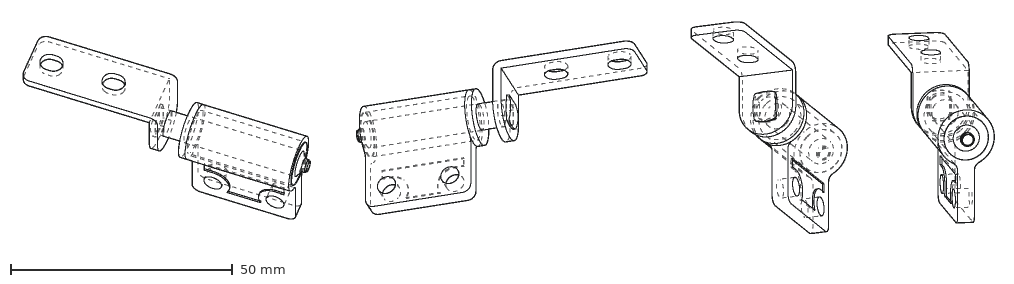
import cadquery as cq
import math


barrel_diameter = 13.0
barrel_radius = barrel_diameter / 2
hole_pitch = 15.0
hole_width = 4.3
hole_inset = 5.0
corner_radius = 2.0

bracket_length = 33.0
bracket_height = 10.0
sheet_thickness = 2.0
bend_radius = 2.0
slot_length = 5.3
bracket_inner_x = bracket_length - sheet_thickness

housing_start = 39.6
housing_length = 24.95
housing_end = housing_start + housing_length
leaf_bottom = 20.0
leaf_thickness = 3.9
leaf_fillet = 2.0
leaf_hole_z = hole_inset - leaf_bottom

recess_depth = 0.4
recess_top_z = -8.95
recess_bottom_z = -17.0
boss_radius = 4.0

flange_thickness = 1.6
cartridge_radius = 5.1
cartridge_end_overhang = 0.2

shaft_radius = 3.0
tenon_width = 4.7
cone_length = 0.95
stub_radius = 1.55
stub_length = 0.8
tip_radius = 1.3
tip_length = 0.4

head_width = 5.5
head_height = 7.1
head_bulge_y = 0.3
head_bulge_z = 0.4
head_corner_radius = 0.4
head_rim_height = 0.4
head_edge_height = 0.6
head_peak_height = 1.1


def cylinder_x(radius, start, length):
    """Cylinder on the hinge axis, running toward +X from start."""
    return cq.Workplane("YZ", origin=(start, 0, 0)).circle(radius).extrude(length)


def make_tenon():
    """Round bar with two flats that fills the bracket's plate."""
    flats = cq.Workplane("XY", origin=(bracket_inner_x, 0, 0)).box(
        sheet_thickness, tenon_width, 2 * shaft_radius, centered=(False, True, True)
    )
    return cylinder_x(shaft_radius, bracket_inner_x, sheet_thickness).intersect(flats)


def make_bracket():
    plate = (
        cq.Workplane("XY", origin=(0, 0, bracket_height - sheet_thickness))
        .box(bracket_length, barrel_diameter, sheet_thickness, centered=(False, True, False))
        .edges("|Z and <X")
        .fillet(corner_radius)
    )
    slots = (
        cq.Workplane("XY")
        .pushPoints([(hole_inset, 0), (hole_inset + hole_pitch, 0)])
        .slot2D(slot_length, hole_width)
        .extrude(bracket_height)
    )
    tongue = (
        cq.Workplane("YZ", origin=(bracket_inner_x, 0, 0))
        .moveTo(-barrel_radius, bracket_height)
        .lineTo(-barrel_radius, 0)
        .threePointArc((0, -barrel_radius), (barrel_radius, 0))
        .lineTo(barrel_radius, bracket_height)
        .close()
        .extrude(sheet_thickness)
    )
    bent = plate.union(tongue).edges("|Y and >X and >Z").fillet(bend_radius)
    return bent.cut(slots).cut(make_tenon())


def make_recess():
    """Wide bar above a web, cleared around both leaf holes by round bosses."""
    center_x = housing_start + housing_length / 2
    width = hole_pitch + hole_width
    recess_height = recess_top_z - recess_bottom_z
    bar_bottom_z = leaf_hole_z + boss_radius
    front = cq.Workplane("XZ", origin=(0, -leaf_thickness / 2, 0))
    recess = (
        front.center(center_x, recess_top_z - recess_height / 2)
        .rect(width, recess_height)
        .extrude(-recess_depth)
    )
    for side in (-1, 1):
        hole_x = center_x + side * hole_pitch / 2
        boss = front.center(hole_x, leaf_hole_z).circle(boss_radius).extrude(-recess_depth)
        outside = (
            front.moveTo(hole_x, bar_bottom_z)
            .lineTo(hole_x + side * boss_radius, bar_bottom_z)
            .lineTo(hole_x + side * boss_radius, -leaf_bottom)
            .lineTo(hole_x, -leaf_bottom)
            .close()
            .extrude(-recess_depth)
        )
        recess = recess.cut(boss).cut(outside)
    return recess


def make_housing():
    half_leaf = leaf_thickness / 2
    fillet_y = half_leaf + leaf_fillet
    fillet_z = -math.sqrt((barrel_radius + leaf_fillet) ** 2 - fillet_y**2)
    angle = math.atan2(fillet_z, fillet_y)
    tangent_y = barrel_radius * math.cos(angle)
    tangent_z = barrel_radius * math.sin(angle)
    middle_angle = (angle + 2 * math.pi) / 2
    middle_y = fillet_y + leaf_fillet * math.cos(middle_angle)
    middle_z = fillet_z + leaf_fillet * math.sin(middle_angle)
    body = (
        cq.Workplane("YZ", origin=(housing_start, 0, 0))
        .moveTo(half_leaf, -leaf_bottom)
        .lineTo(half_leaf, fillet_z)
        .threePointArc((middle_y, middle_z), (tangent_y, tangent_z))
        .threePointArc((0, barrel_radius), (-tangent_y, tangent_z))
        .threePointArc((-middle_y, middle_z), (-half_leaf, fillet_z))
        .lineTo(-half_leaf, -leaf_bottom)
        .close()
        .extrude(housing_length)
        .edges("|Y and <Z")
        .edges("<X or >X")
        .fillet(corner_radius)
    )
    hole_x = housing_start + (housing_length - hole_pitch) / 2
    holes = (
        cq.Workplane("XZ")
        .pushPoints([(hole_x, leaf_hole_z), (hole_x + hole_pitch, leaf_hole_z)])
        .circle(hole_width / 2)
        .extrude(leaf_thickness, both=True)
    )
    bore = cylinder_x(cartridge_radius, housing_start, housing_length)
    return body.cut(holes).cut(make_recess()).cut(bore)


def make_cartridge():
    """Flanged sleeve that fills the housing bore and stands slightly proud of it."""
    flange = cylinder_x(barrel_radius, housing_start - flange_thickness, flange_thickness)
    sleeve = cylinder_x(cartridge_radius, housing_start, housing_length + cartridge_end_overhang)
    bore = cylinder_x(
        shaft_radius,
        housing_start - flange_thickness,
        flange_thickness + housing_length + cartridge_end_overhang,
    )
    return flange.union(sleeve).cut(bore)


def make_head():
    """Domed rivet head with four bulged sides, seated on the bracket's inner face."""
    half_width = head_width / 2
    half_height = head_height / 2
    corner_y = half_width - head_bulge_y
    corner_z = half_height - head_bulge_z
    outline = (
        cq.Workplane("YZ", origin=(bracket_inner_x, 0, 0))
        .moveTo(-corner_y, -corner_z)
        .threePointArc((0, -half_height), (corner_y, -corner_z))
        .threePointArc((half_width, 0), (corner_y, corner_z))
        .threePointArc((0, half_height), (-corner_y, corner_z))
        .threePointArc((-half_width, 0), (-corner_y, -corner_z))
        .close()
        .extrude(-head_peak_height)
        .edges("|X")
        .fillet(head_corner_radius)
    )
    dome = (
        cq.Workplane("XZ")
        .moveTo(bracket_inner_x, -half_height)
        .lineTo(bracket_inner_x - head_rim_height, -half_height)
        .lineTo(bracket_inner_x - head_edge_height, -corner_z)
        .threePointArc(
            (bracket_inner_x - head_peak_height, 0),
            (bracket_inner_x - head_edge_height, corner_z),
        )
        .lineTo(bracket_inner_x - head_rim_height, half_height)
        .lineTo(bracket_inner_x, half_height)
        .close()
        .extrude(half_width, both=True)
    )
    return outline.intersect(dome)


def make_shaft():
    cartridge_end = housing_end + cartridge_end_overhang
    cone_end = cartridge_end + cone_length
    stub_end = cone_end + stub_length
    tip_end = stub_end + tip_length
    turned = (
        cq.Workplane("XY")
        .moveTo(bracket_length, 0)
        .lineTo(bracket_length, shaft_radius)
        .lineTo(cartridge_end, shaft_radius)
        .lineTo(cone_end, stub_radius)
        .lineTo(stub_end, stub_radius)
        .lineTo(stub_end, tip_radius)
        .lineTo(tip_end, tip_radius)
        .lineTo(tip_end, 0)
        .close()
        .revolve(360, (0, 0, 0), (1, 0, 0))
    )
    return turned.union(make_tenon()).union(make_head())


bracket = make_bracket().solids().val()
housing = make_housing().solids().val()
cartridge = make_cartridge().solids().val()
shaft = make_shaft().solids().val()

result = cq.Compound.makeCompound([bracket, housing, cartridge, shaft])